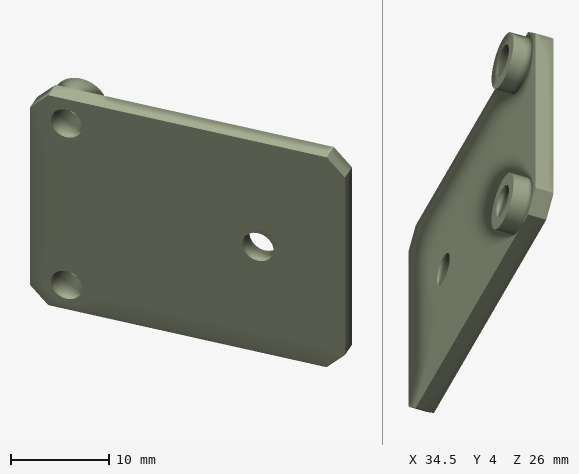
import cadquery as cq

plate_width = 34.5
plate_height = 26.0
plate_thickness = 2.0
corner_chamfer = 2.0

boss_diameter = 6.0
boss_height = 2.0
boss_from_left = 4.0

hole_diameter = 3.4
single_hole_from_left = 24.98

left_edge = -plate_width / 2
boss_x = left_edge + boss_from_left
boss_z = (plate_height - boss_diameter) / 2
boss_centres = [(boss_x, boss_z), (boss_x, -boss_z)]
hole_centres = boss_centres + [(left_edge + single_hole_from_left, 0)]
total_depth = plate_thickness + boss_height


def cylinder_along_y(centre, diameter, length):
    """Cylinder running from the front face toward +Y."""
    x, z = centre
    return cq.Workplane("XZ").center(x, z).circle(diameter / 2).extrude(-length)


result = (
    cq.Workplane("XZ")
    .rect(plate_width, plate_height)
    .extrude(-plate_thickness)
    .edges("|Y")
    .chamfer(corner_chamfer)
)

for centre in boss_centres:
    result = result.union(cylinder_along_y(centre, boss_diameter, total_depth))

for centre in hole_centres:
    result = result.cut(cylinder_along_y(centre, hole_diameter, total_depth))